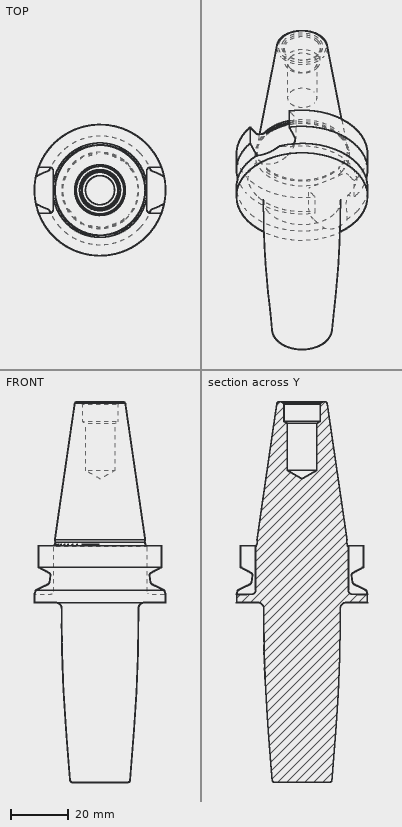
import cadquery as cq
import math


TAPER_LENGTH = 48.4
GAUGE_RADIUS = 31.75 / 2
TAPER_SLOPE = 7 / 48
TAPER_TOP_CHAMFER = 0.5

RELIEF_WAIST_RADIUS = 15.7
RELIEF_WAIST_Z = -0.75
RELIEF_FOOT_RADIUS = 15.95
RELIEF_FOOT_Z = -1.6
RELIEF_FILLET = 0.6
RELIEF_FLOOR_RADIUS = RELIEF_FOOT_RADIUS + RELIEF_FILLET
RELIEF_FLOOR_Z = RELIEF_FOOT_Z - RELIEF_FILLET
RELIEF_MOUTH_RADIUS = 17.5

FLANGE_RADIUS = 23.0
FLANGE_TOP_Z = -2.0
FLANGE_BOTTOM_Z = -22.0
GROOVE_CENTER_Z = -13.6
GROOVE_MOUTH_WIDTH = 8.0
GROOVE_ROOT_RADIUS = 19.1
GROOVE_WALL_ANGLE = math.radians(60)
GROOVE_ROOT_FILLET = 0.9

SLOT_WIDTH = 16.1
SLOT_FLOOR_X = 16.3
SLOT_CENTER_Z = -11.0
SLOT_FLOOR_FILLET = 1.5

TIP_Z = -85.0
TIP_RADIUS = 10.5
TIP_FILLET = 1.0
SHANK_RADIUS = 13.5
SHANK_FILLET = 2.0
CONE_ANGLE = math.radians(4.5)
BLEND_RADIUS = 500.0

BORE_RADIUS = 6.25
BORE_DEPTH = 6.9
BORE_CHAMFER_DEPTH = 0.85
BORE_CHAMFER_BREAK_RADIUS = 6.65
BORE_CHAMFER_BREAK_DEPTH = 0.35
BORE_MOUTH_RADIUS = 7.2
THREAD_RADIUS = 5.1
THREAD_DEPTH = 24.0
DRILL_HALF_ANGLE = math.radians(60)


def turned_body():
    """Revolve the outer profile, from the small end of the taper down to the tip."""
    taper_top_radius = GAUGE_RADIUS - TAPER_LENGTH * TAPER_SLOPE
    taper_top_edge_z = TAPER_LENGTH - TAPER_TOP_CHAMFER
    taper_top_edge_radius = taper_top_radius + TAPER_TOP_CHAMFER * TAPER_SLOPE

    groove_top_z = GROOVE_CENTER_Z + GROOVE_MOUTH_WIDTH / 2
    groove_bottom_z = GROOVE_CENTER_Z - GROOVE_MOUTH_WIDTH / 2
    groove_wall_height = (FLANGE_RADIUS - GROOVE_ROOT_RADIUS) / math.tan(GROOVE_WALL_ANGLE)

    blend_height = BLEND_RADIUS * math.sin(CONE_ANGLE)
    blend_end_radius = SHANK_RADIUS - BLEND_RADIUS * (1 - math.cos(CONE_ANGLE))
    blend_end_z = TIP_Z + (blend_end_radius - TIP_RADIUS) / math.tan(CONE_ANGLE)
    blend_start_z = blend_end_z + blend_height
    blend_mid_radius = SHANK_RADIUS - BLEND_RADIUS * (1 - math.cos(CONE_ANGLE / 2))
    blend_mid_z = blend_start_z - BLEND_RADIUS * math.sin(CONE_ANGLE / 2)

    profile = (
        cq.Workplane("XZ")
        .moveTo(0, TAPER_LENGTH)
        .lineTo(taper_top_radius - TAPER_TOP_CHAMFER, TAPER_LENGTH)
        .lineTo(taper_top_edge_radius, taper_top_edge_z)
        .lineTo(GAUGE_RADIUS, 0)
        .lineTo(RELIEF_WAIST_RADIUS, RELIEF_WAIST_Z)
        .lineTo(RELIEF_FOOT_RADIUS, RELIEF_FOOT_Z)
        .radiusArc((RELIEF_FLOOR_RADIUS, RELIEF_FLOOR_Z), -RELIEF_FILLET)
        .lineTo(RELIEF_MOUTH_RADIUS, FLANGE_TOP_Z)
        .lineTo(FLANGE_RADIUS, FLANGE_TOP_Z)
        .lineTo(FLANGE_RADIUS, groove_top_z)
        .lineTo(GROOVE_ROOT_RADIUS, groove_top_z - groove_wall_height)
        .lineTo(GROOVE_ROOT_RADIUS, groove_bottom_z + groove_wall_height)
        .lineTo(FLANGE_RADIUS, groove_bottom_z)
        .lineTo(FLANGE_RADIUS, FLANGE_BOTTOM_Z)
        .lineTo(SHANK_RADIUS + SHANK_FILLET, FLANGE_BOTTOM_Z)
        .radiusArc((SHANK_RADIUS, FLANGE_BOTTOM_Z - SHANK_FILLET), -SHANK_FILLET)
        .lineTo(SHANK_RADIUS, blend_start_z)
        .threePointArc((blend_mid_radius, blend_mid_z), (blend_end_radius, blend_end_z))
        .lineTo(TIP_RADIUS, TIP_Z)
        .lineTo(0, TIP_Z)
        .close()
    )
    body = profile.revolve(360, (0, 0, 0), (0, 1, 0))
    body = body.faces("<Z").edges().fillet(TIP_FILLET)
    groove_root_zone = cq.selectors.BoxSelector(
        (-FLANGE_RADIUS, -FLANGE_RADIUS, groove_bottom_z + groove_wall_height / 2),
        (FLANGE_RADIUS, FLANGE_RADIUS, groove_top_z - groove_wall_height / 2),
    )
    groove_root_edges = body.edges("%CIRCLE").edges(groove_root_zone)
    return groove_root_edges.fillet(GROOVE_ROOT_FILLET)


def drive_slot(side):
    """Round-bottomed cutter, open upward and outward, rounded along its floor; side is +1 or -1."""
    half_width = SLOT_WIDTH / 2
    cutter = (
        cq.Workplane("YZ", origin=(side * SLOT_FLOOR_X, 0, 0))
        .moveTo(-half_width, 0)
        .lineTo(-half_width, SLOT_CENTER_Z)
        .threePointArc((0, SLOT_CENTER_Z - half_width), (half_width, SLOT_CENTER_Z))
        .lineTo(half_width, 0)
        .close()
        .extrude(side * FLANGE_RADIUS)
    )
    floor = cutter.faces("<X" if side > 0 else ">X")
    return floor.edges("not >Z").fillet(SLOT_FLOOR_FILLET)


def drawbar_bore():
    """Bore with a two-angle chamfer, narrowing through a cone to a thread hole with a drill point."""
    step_height = (BORE_RADIUS - THREAD_RADIUS) / math.tan(DRILL_HALF_ANGLE)
    point_height = THREAD_RADIUS / math.tan(DRILL_HALF_ANGLE)
    bore_end_z = TAPER_LENGTH - BORE_DEPTH
    thread_end_z = TAPER_LENGTH - THREAD_DEPTH
    return (
        cq.Workplane("XZ")
        .moveTo(0, TAPER_LENGTH)
        .lineTo(BORE_MOUTH_RADIUS, TAPER_LENGTH)
        .lineTo(BORE_CHAMFER_BREAK_RADIUS, TAPER_LENGTH - BORE_CHAMFER_BREAK_DEPTH)
        .lineTo(BORE_RADIUS, TAPER_LENGTH - BORE_CHAMFER_DEPTH)
        .lineTo(BORE_RADIUS, bore_end_z)
        .lineTo(THREAD_RADIUS, bore_end_z - step_height)
        .lineTo(THREAD_RADIUS, thread_end_z)
        .lineTo(0, thread_end_z - point_height)
        .close()
        .revolve(360, (0, 0, 0), (0, 1, 0))
    )


result = turned_body().cut(drawbar_bore())
for slot_side in (1, -1):
    result = result.cut(drive_slot(slot_side))